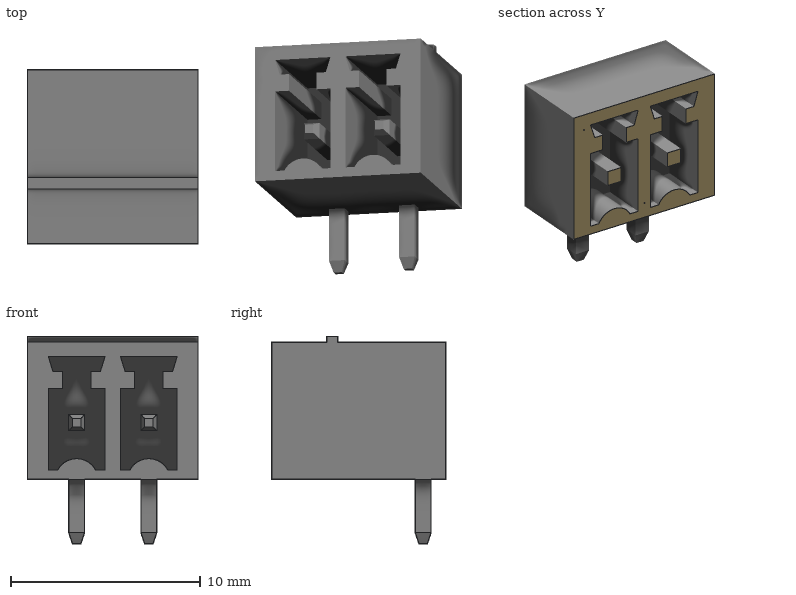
import cadquery as cq

width = 9.01
depth = 9.2
height = 7.25
pitch = 3.81
pole_centres = (-pitch / 2, pitch / 2)

rib_front = 2.9
rib_width = 0.6
rib_height = 0.3

rear_wall = 2.0
cavity_depth = depth - rear_wall
cavity_width = 3.0
cavity_floor = 0.5
cavity_top = 6.5
neck_width = 1.5
neck_bottom = 4.8
neck_top = 5.7
dovetail_base_width = 2.5

ridge_width = 2.0
ridge_height = 0.6

pin_size = 0.85
pin_tip_size = 0.45
pin_tip_length = 0.6
contact_height = 3.0
contact_front = 1.4
solder_leg_y = 8.0
solder_leg_length = 3.4


def make_housing():
    body = cq.Workplane("XY").box(width, depth, height, centered=(True, False, False))
    rib = (
        cq.Workplane("XY", origin=(0, rib_front, height))
        .box(width, rib_width, rib_height, centered=(True, False, False))
    )
    return body.union(rib)


def make_cavity(x):
    half_cavity = cavity_width / 2
    half_neck = neck_width / 2
    half_base = dovetail_base_width / 2
    half_ridge = ridge_width / 2
    return (
        cq.Workplane("XZ", origin=(x, 0, 0))
        .moveTo(-half_cavity, cavity_floor)
        .lineTo(-half_ridge, cavity_floor)
        .threePointArc((0, cavity_floor + ridge_height), (half_ridge, cavity_floor))
        .lineTo(half_cavity, cavity_floor)
        .lineTo(half_cavity, neck_bottom)
        .lineTo(half_neck, neck_bottom)
        .lineTo(half_neck, neck_top)
        .lineTo(half_base, neck_top)
        .lineTo(half_cavity, cavity_top)
        .lineTo(-half_cavity, cavity_top)
        .lineTo(-half_base, neck_top)
        .lineTo(-half_neck, neck_top)
        .lineTo(-half_neck, neck_bottom)
        .lineTo(-half_cavity, neck_bottom)
        .close()
        .extrude(-cavity_depth)
    )


def make_leg(plane, length):
    """Square leg from the plane origin along its normal, tapered at the far end."""
    shank_length = length - pin_tip_length
    shank = cq.Workplane(plane).rect(pin_size, pin_size).extrude(shank_length)
    tip = (
        cq.Workplane(plane)
        .workplane(offset=shank_length)
        .rect(pin_size, pin_size)
        .workplane(offset=pin_tip_length)
        .rect(pin_tip_size, pin_tip_size)
        .loft()
    )
    return shank.union(tip)


def make_pin(x):
    bend_y = solder_leg_y + pin_size / 2
    bend_z = contact_height + pin_size / 2
    contact_plane = cq.Plane(origin=(x, bend_y, contact_height), xDir=(1, 0, 0), normal=(0, -1, 0))
    solder_plane = cq.Plane(origin=(x, solder_leg_y, bend_z), xDir=(1, 0, 0), normal=(0, 0, -1))
    contact_leg = make_leg(contact_plane, bend_y - contact_front)
    solder_leg = make_leg(solder_plane, bend_z + solder_leg_length)
    return contact_leg.union(solder_leg)


result = make_housing()
for pole_x in pole_centres:
    result = result.cut(make_cavity(pole_x))
for pole_x in pole_centres:
    result = result.union(make_pin(pole_x))